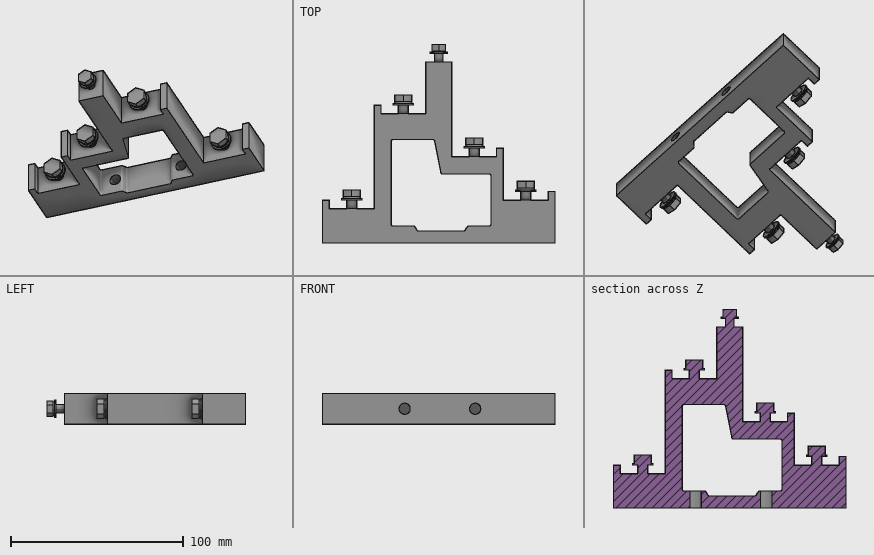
import cadquery as cq
import math

width = 135.0
thickness = 18.0
center_x = width / 2

step_width = 30.0
tower_width = width - 4 * step_width
lip_width = 4.0
lip_height = 5.0
floor_outer_left = 20.0
floor_outer_right = 25.0
floor_inner_left = 75.0
floor_inner_right = 50.1
tower_top = 105.0

window_left = 40.0
window_right = 97.7
window_bottom = 10.0
window_top = 60.0
window_shoulder = 40.0
slope_top_x = 65.0
slope_bottom_x = 68.8
relief_depth = 3.0
relief_top_width = 31.0
relief_floor_width = 27.0
relief_x = (window_left + window_right) / 2
corner_radius = 1.0

hole_diameter = 6.5
hole_spacing = 40.9
hole_center_x = 68.2

washer_bottom = lip_height
large_screw = dict(
    shank=6.0, washer=12.0, head=10.0, washer_top=6.0, head_bottom=7.0, head_top=11.0
)
small_screw = dict(
    shank=5.0, washer=10.0, head=8.0, washer_top=5.7, head_bottom=6.5, head_top=10.1
)


def make_body():
    """Stair-shaped plate with a lip at the outer end of every step."""
    tower_left = 2 * step_width
    tower_right = tower_left + tower_width
    inner_right = width - step_width
    points = [
        (0, 0),
        (0, floor_outer_left + lip_height),
        (lip_width, floor_outer_left + lip_height),
        (lip_width, floor_outer_left),
        (step_width, floor_outer_left),
        (step_width, floor_inner_left + lip_height),
        (step_width + lip_width, floor_inner_left + lip_height),
        (step_width + lip_width, floor_inner_left),
        (tower_left, floor_inner_left),
        (tower_left, tower_top),
        (tower_right, tower_top),
        (tower_right, floor_inner_right),
        (inner_right - lip_width, floor_inner_right),
        (inner_right - lip_width, floor_inner_right + lip_height),
        (inner_right, floor_inner_right + lip_height),
        (inner_right, floor_outer_right),
        (width - lip_width, floor_outer_right),
        (width - lip_width, floor_outer_right + lip_height),
        (width, floor_outer_right + lip_height),
        (width, 0),
    ]
    return cq.Workplane("XY").polyline(points).close().extrude(thickness)


def make_window():
    """Through opening with rounded corners."""
    relief_bottom = window_bottom - relief_depth
    points = [
        (window_left, window_bottom),
        (window_left, window_top),
        (slope_top_x, window_top),
        (slope_bottom_x, window_shoulder),
        (window_right, window_shoulder),
        (window_right, window_bottom),
        (relief_x + relief_top_width / 2, window_bottom),
        (relief_x + relief_floor_width / 2, relief_bottom),
        (relief_x - relief_floor_width / 2, relief_bottom),
        (relief_x - relief_top_width / 2, window_bottom),
    ]
    opening = cq.Workplane("XY").polyline(points).close().extrude(thickness)
    return opening.edges("|Z").fillet(corner_radius)


def make_mounting_hole(x):
    """Bore from the bottom face into the window."""
    bore = cq.Solid.makeCylinder(
        hole_diameter / 2, window_bottom, cq.Vector(x, 0, thickness / 2), cq.Vector(0, 1, 0)
    )
    return cq.Workplane(obj=bore)


def make_screw(x, seat, size):
    """Hex screw with washer, pointing along +Y, with hex corners towards +Z and -Z."""

    def disc(diameter, bottom, top):
        start = cq.Vector(x, seat + bottom, thickness / 2)
        solid = cq.Solid.makeCylinder(diameter / 2, top - bottom, start, cq.Vector(0, 1, 0))
        return cq.Workplane(obj=solid)

    corner_diameter = size["head"] / math.cos(math.pi / 6)
    head_plane = cq.Plane(
        origin=(x, seat + size["head_bottom"], thickness / 2), xDir=(0, 0, 1), normal=(0, 1, 0)
    )
    head = cq.Workplane(head_plane).polygon(6, corner_diameter)
    head = head.extrude(size["head_top"] - size["head_bottom"])
    shank = disc(size["shank"], 0, size["head_bottom"])
    washer = disc(size["washer"], washer_bottom, size["washer_top"])
    collar = disc(size["head"], size["washer_top"], size["head_bottom"])
    return shank.union(washer).union(collar).union(head)


result = make_body().cut(make_window())

for side in (-1, 1):
    result = result.cut(make_mounting_hole(hole_center_x + side * hole_spacing / 2))

outer_screw_x = (lip_width + step_width) / 2
inner_screw_x = outer_screw_x + step_width
screws = [
    (outer_screw_x, floor_outer_left, large_screw),
    (inner_screw_x, floor_inner_left, large_screw),
    (center_x, tower_top, small_screw),
    (width - inner_screw_x, floor_inner_right, large_screw),
    (width - outer_screw_x, floor_outer_right, large_screw),
]
for screw_x, seat_height, screw_size in screws:
    result = result.union(make_screw(screw_x, seat_height, screw_size))